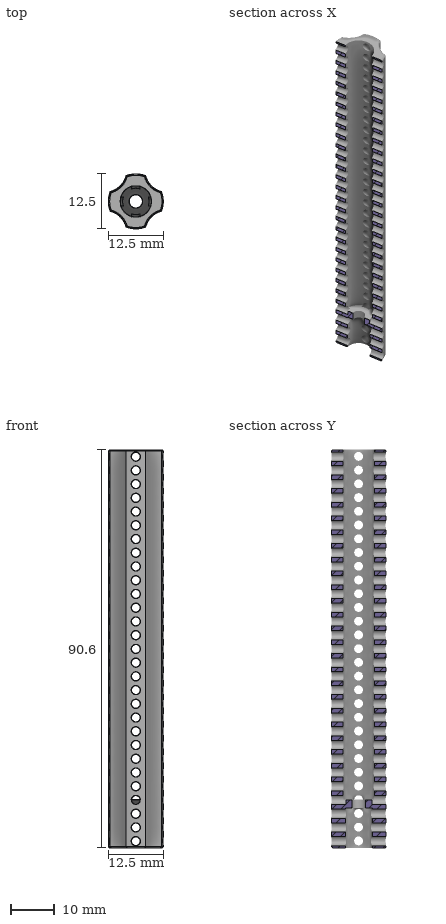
import cadquery as cq

HOLE_PITCH = 3.125
HOLE_COUNT = 29
LENGTH = HOLE_PITCH * HOLE_COUNT
OUTER_DIAMETER = 12.5
END_CHAMFER = 0.3

FLUTE_RADIUS = 5.0
FLUTE_FLOOR_DISTANCE = 5.0
FLUTE_AXIS_DISTANCE = FLUTE_FLOOR_DISTANCE + FLUTE_RADIUS
FLUTE_COUNT = 4
FIRST_FLUTE_ANGLE = 45

BORE_DIAMETER = 7.1
LOWER_BORE_DIAMETER = 6.0
WEB_TOP = 11.0
WEB_THICKNESS = 2.0
WEB_HOLE_DIAMETER = 3.0

CROSS_HOLE_DIAMETER = 2.0


def make_fluted_bar():
    """Round bar with the flutes cut along it and both ends chamfered."""
    bar = cq.Workplane("XY").circle(OUTER_DIAMETER / 2).extrude(LENGTH)
    flutes = (
        cq.Workplane("XY")
        .polarArray(FLUTE_AXIS_DISTANCE, FIRST_FLUTE_ANGLE, 360, FLUTE_COUNT)
        .circle(FLUTE_RADIUS)
        .extrude(LENGTH)
    )
    return bar.cut(flutes).faces("<Z or >Z").chamfer(END_CHAMFER)


def make_bore():
    """Full-length bore: narrow up to the web top, wide above it."""
    lower = cq.Workplane("XY").circle(LOWER_BORE_DIAMETER / 2).extrude(WEB_TOP)
    upper = (
        cq.Workplane("XY", origin=(0, 0, WEB_TOP))
        .circle(BORE_DIAMETER / 2)
        .extrude(LENGTH - WEB_TOP)
    )
    return lower.union(upper)


def make_cross_holes():
    """Two rows of through holes, one along X and one along Y."""
    heights = [HOLE_PITCH * (index + 0.5) for index in range(HOLE_COUNT)]
    along_y = (
        cq.Workplane("XZ")
        .pushPoints([(0, height) for height in heights])
        .circle(CROSS_HOLE_DIAMETER / 2)
        .extrude(OUTER_DIAMETER / 2, both=True)
    )
    along_x = along_y.rotate((0, 0, 0), (0, 0, 1), 90)
    return along_y, along_x


def make_web():
    """Disc across the lower bore, with a central hole; it also blocks one level of cross holes."""
    return (
        cq.Workplane("XY", origin=(0, 0, WEB_TOP - WEB_THICKNESS))
        .circle(LOWER_BORE_DIAMETER / 2)
        .circle(WEB_HOLE_DIAMETER / 2)
        .extrude(WEB_THICKNESS)
    )


tube = make_fluted_bar().cut(make_bore())
for hole_row in make_cross_holes():
    tube = tube.cut(hole_row)

result = tube.union(make_web())